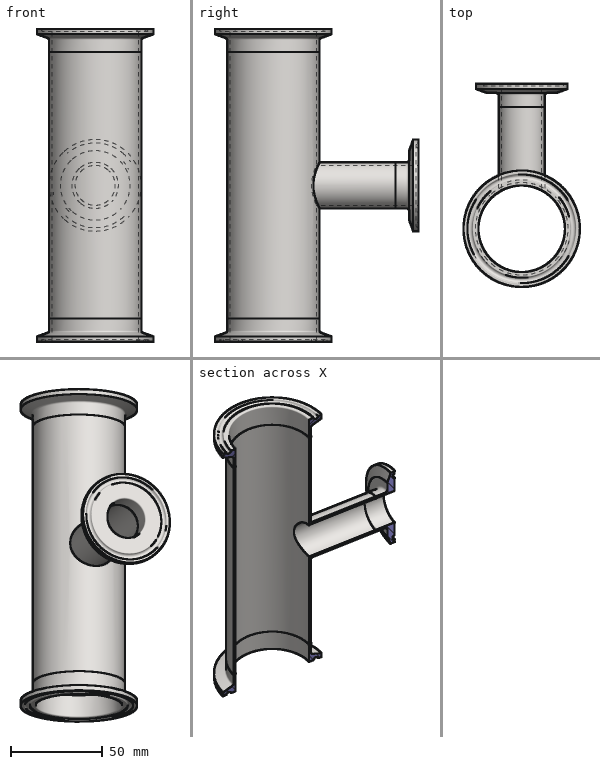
import cadquery as cq
import math

TOTAL_HEIGHT = 171.4
BRANCH_REACH = 79.5
FERRULE_LENGTH = 12.7

MAIN_RADIUS = 25.4
MAIN_BORE_RADIUS = 23.7
BRANCH_RADIUS = 12.7
BRANCH_BORE_RADIUS = 11.0

MAIN_FLANGE_DIAMETER = 64.0
MAIN_FLANGE_RADIUS = MAIN_FLANGE_DIAMETER / 2
BRANCH_FLANGE_RADIUS = 25.2
RIM_THICKNESS = 2.9
CLAMP_ANGLE = math.radians(20)
MAIN_NECK_FILLET = 1.0
BRANCH_NECK_FILLET = 1.4
BRANCH_FLANGE_THICKNESS = 5.1
MOUTH_FILLET = 0.7

MAIN_GROOVE_RADIUS = 28.3
BRANCH_GROOVE_RADIUS = 21.8
GROOVE_WIDTH = 3.0
GROOVE_DEPTH = 1.4
GROOVE_EDGE_FILLET = 0.3

BRANCH_HEIGHT = TOTAL_HEIGHT / 2
TUBE_BOTTOM = FERRULE_LENGTH
TUBE_LENGTH = TOTAL_HEIGHT - 2 * FERRULE_LENGTH
BRANCH_TUBE_END = BRANCH_REACH - FERRULE_LENGTH


def make_tee():
    """Main tube with a side branch, both bores open into each other."""
    main_plane = cq.Workplane("XY").workplane(offset=TUBE_BOTTOM)
    branch_plane = cq.Workplane(cq.Plane((0, 0, BRANCH_HEIGHT), (1, 0, 0), (0, 1, 0)))
    main = main_plane.circle(MAIN_RADIUS).extrude(TUBE_LENGTH)
    branch = branch_plane.circle(BRANCH_RADIUS).extrude(BRANCH_TUBE_END)
    main_bore = main_plane.circle(MAIN_BORE_RADIUS).extrude(TUBE_LENGTH)
    branch_bore = branch_plane.circle(BRANCH_BORE_RADIUS).extrude(BRANCH_TUBE_END)
    return main.union(branch).cut(main_bore).cut(branch_bore)


def cut_gasket_groove(ferrule, groove_radius):
    """Cut a ring groove with an arc section into the face at Z = 0."""
    half_width = GROOVE_WIDTH / 2
    groove = (
        cq.Workplane("XZ")
        .moveTo(groove_radius - half_width, 0)
        .threePointArc((groove_radius, GROOVE_DEPTH), (groove_radius + half_width, 0))
        .close()
        .revolve(360, (0, 0, 0), (0, 1, 0))
    )
    ferrule = ferrule.cut(groove)
    face_edges = ferrule.faces("<Z").edges()
    inner_rim = face_edges.edges(cq.selectors.RadiusNthSelector(1))
    outer_rim = face_edges.edges(cq.selectors.RadiusNthSelector(2))
    return inner_rim.add(outer_rim).fillet(GROOVE_EDGE_FILLET)


def finish_ferrule(profile, groove_radius):
    """Revolve a ferrule section about Z, round its mouth and cut its groove."""
    ferrule = profile.close().revolve(360, (0, 0, 0), (0, 1, 0))
    mouth = cq.selectors.RadiusNthSelector(0)
    ferrule = ferrule.faces("<Z").edges(mouth).fillet(MOUTH_FILLET)
    return cut_gasket_groove(ferrule, groove_radius)


def fillet_to_neck(profile, neck_radius, fillet_radius, start_angle, center_height):
    """Add the concave arc that runs from the back of the flange into the neck."""
    center_radius = neck_radius + fillet_radius
    middle_angle = start_angle / 2 + math.pi / 4
    middle = (
        center_radius - fillet_radius * math.sin(middle_angle),
        center_height - fillet_radius * math.cos(middle_angle),
    )
    return profile.threePointArc(middle, (neck_radius, center_height))


def make_main_ferrule():
    """Ferrule with its face at Z = 0, whose clamp cone runs into the neck."""
    center_radius = MAIN_RADIUS + MAIN_NECK_FILLET
    cone_end_radius = center_radius - MAIN_NECK_FILLET * math.sin(CLAMP_ANGLE)
    cone_end_height = RIM_THICKNESS + (MAIN_FLANGE_RADIUS - cone_end_radius) * math.tan(CLAMP_ANGLE)
    center_height = cone_end_height + MAIN_NECK_FILLET * math.cos(CLAMP_ANGLE)
    profile = (
        cq.Workplane("XZ")
        .moveTo(MAIN_BORE_RADIUS, 0)
        .lineTo(MAIN_FLANGE_RADIUS, 0)
        .lineTo(MAIN_FLANGE_RADIUS, RIM_THICKNESS)
        .lineTo(cone_end_radius, cone_end_height)
    )
    profile = fillet_to_neck(profile, MAIN_RADIUS, MAIN_NECK_FILLET, CLAMP_ANGLE, center_height)
    profile = profile.lineTo(MAIN_RADIUS, FERRULE_LENGTH).lineTo(MAIN_BORE_RADIUS, FERRULE_LENGTH)
    return finish_ferrule(profile, MAIN_GROOVE_RADIUS)


def make_branch_ferrule():
    """Ferrule with its face at Z = 0, with a flat back between cone and neck."""
    cone_height = BRANCH_FLANGE_THICKNESS - RIM_THICKNESS
    cone_end_radius = BRANCH_FLANGE_RADIUS - cone_height / math.tan(CLAMP_ANGLE)
    center_height = BRANCH_FLANGE_THICKNESS + BRANCH_NECK_FILLET
    profile = (
        cq.Workplane("XZ")
        .moveTo(BRANCH_BORE_RADIUS, 0)
        .lineTo(BRANCH_FLANGE_RADIUS, 0)
        .lineTo(BRANCH_FLANGE_RADIUS, RIM_THICKNESS)
        .lineTo(cone_end_radius, BRANCH_FLANGE_THICKNESS)
        .lineTo(BRANCH_RADIUS + BRANCH_NECK_FILLET, BRANCH_FLANGE_THICKNESS)
    )
    profile = fillet_to_neck(profile, BRANCH_RADIUS, BRANCH_NECK_FILLET, 0, center_height)
    profile = profile.lineTo(BRANCH_RADIUS, FERRULE_LENGTH).lineTo(BRANCH_BORE_RADIUS, FERRULE_LENGTH)
    return finish_ferrule(profile, BRANCH_GROOVE_RADIUS)


tee = make_tee()

main_ferrules = []
for turn, face_height in ((0, 0), (180, TOTAL_HEIGHT)):
    main_ferrule = make_main_ferrule().rotate((0, 0, 0), (1, 0, 0), turn)
    main_ferrules.append(main_ferrule.translate((0, 0, face_height)).val())

branch_ferrule = (
    make_branch_ferrule()
    .rotate((0, 0, 0), (1, 0, 0), 90)
    .translate((0, BRANCH_REACH, BRANCH_HEIGHT))
)

result = cq.Compound.makeCompound([tee.val(), *main_ferrules, branch_ferrule.val()])